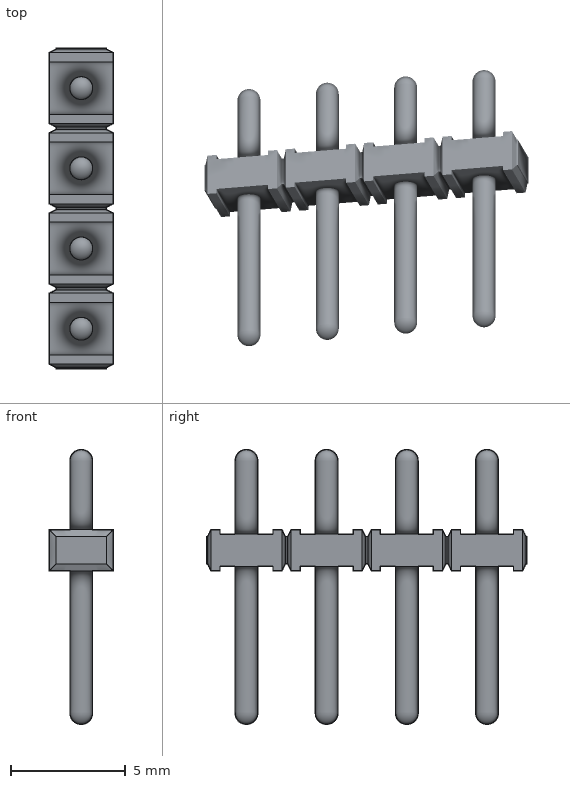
import cadquery as cq

pin_count = 4
pitch = 3.5

body_width = 2.8
body_height = 1.8
neck_length = 0.1
bevel_length = 0.15
bevel_inset = 0.3
rim_length = 0.4
recess_depth = 0.2

row_length = pin_count * pitch
neck_width = body_width - 2 * bevel_inset
neck_height = body_height - 2 * bevel_inset
block_length = pitch - neck_length - 2 * bevel_length
recess_length = block_length - 2 * rim_length

pin_radius = 0.5
pin_above = 3.5
pin_below = 6.7

pin_top = body_height / 2 + pin_above
pin_bottom = -body_height / 2 - pin_below


def make_bevel(side):
    """Tapered end of a cell, shrinking from the full section to the neck; side is +1 or -1 along Y."""
    wide_end = cq.Plane(
        origin=(0, side * block_length / 2, 0),
        xDir=(1, 0, 0),
        normal=(0, side, 0),
    )
    return (
        cq.Workplane(wide_end)
        .rect(body_width, body_height)
        .workplane(offset=bevel_length)
        .rect(neck_width, neck_height)
        .loft(ruled=True)
    )


def make_cell():
    """One housing cell: a block with bevelled ends and a recessed floor on top and bottom."""
    cell = cq.Workplane("XY").box(body_width, block_length, body_height)
    for side in (-1, 1):
        recess = (
            cq.Workplane("XY")
            .box(body_width, recess_length, recess_depth)
            .translate((0, 0, side * (body_height - recess_depth) / 2))
        )
        cell = cell.cut(recess).union(make_bevel(side))
    return cell


def make_pin():
    """Round pin with hemispherical tips, revolved about Z."""
    return (
        cq.Workplane("YZ")
        .moveTo(0, pin_bottom)
        .radiusArc((-pin_radius, pin_bottom + pin_radius), pin_radius)
        .lineTo(-pin_radius, pin_top - pin_radius)
        .radiusArc((0, pin_top), pin_radius)
        .close()
        .revolve(360, (0, 0, 0), (0, 1, 0))
    )


part = cq.Workplane("XY").box(neck_width, row_length, neck_height)
cell = make_cell()
pin = make_pin()
for index in range(pin_count):
    position = (0, (index - (pin_count - 1) / 2) * pitch, 0)
    part = part.union(cell.translate(position)).union(pin.translate(position))

result = part.solids()